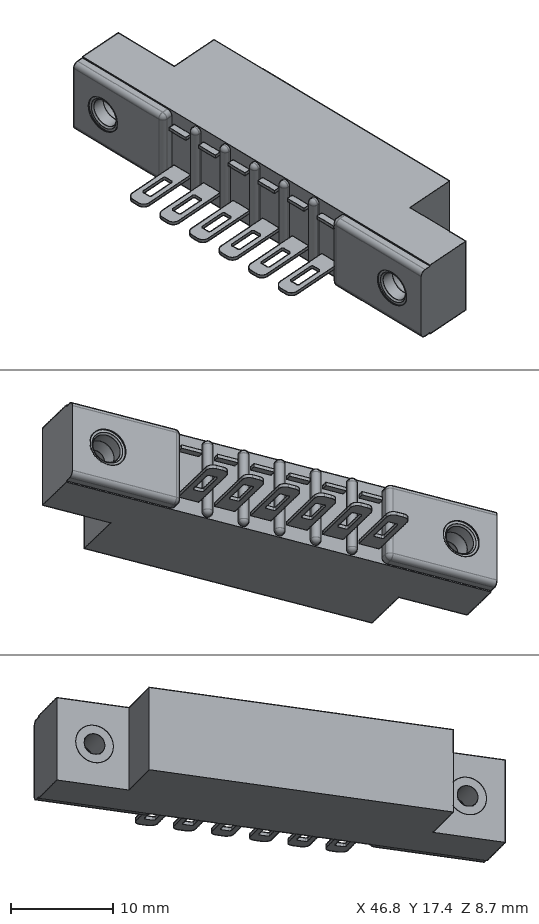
import cadquery as cq

LENGTH = 46.8
HEIGHT = 8.7
BODY_DEPTH = 10.75
FLANGE_DEPTH = 5.1
FLANGE_REACH = 7.55

PAD_LENGTH = 12.03
PAD_PROUD = 1.25
PAD_ROUND = 0.55
FACE_STEP = 0.15
RAISED_HEIGHT = HEIGHT - 2 * FACE_STEP

CONTACT_COUNT = 6
PITCH = 4.0
CONTACT_WIDTH = 2.25
CONTACT_THICKNESS = 0.37
CONTACT_LENGTH = 6.65
CONTACT_OFFSET = 2.57
TIP_ROUND = 0.75
EYE_WIDTH = 1.1
EYE_LENGTH = 3.2
EYE_CENTRE = 3.55
EYE_ROUND = 0.2
STUB_PROUD = 0.7

RIB_WIDTH = 1.05
RIB_PROUD = 0.75

BUSHING_SPACING = 38.95
BUSHING_DIAMETER = 3.95
BUSHING_SETBACK = 0.15
BUSHING_BORE = 2.15
BUSHING_MOUTH = 3.35
BUSHING_THROAT = 3.0
MOUTH_DEPTH = 0.2
THROAT_DEPTH = 1.5
TAPER_LENGTH = 1.15

contact_positions = [(i - (CONTACT_COUNT - 1) / 2) * PITCH for i in range(CONTACT_COUNT)]
rib_positions = [x + PITCH / 2 for x in contact_positions[:-1]]
bushing_positions = [-BUSHING_SPACING / 2, BUSHING_SPACING / 2]


def make_block():
    """Long flange with a narrower block behind it."""
    flange = cq.Workplane("XY").box(LENGTH, FLANGE_DEPTH, HEIGHT, centered=(True, False, True))
    block_length = LENGTH - 2 * FLANGE_REACH
    block = cq.Workplane("XY").box(block_length, BODY_DEPTH, HEIGHT, centered=(True, False, True))
    return flange.union(block)


def make_pad():
    """Raised pad at the -X end, rounded on all edges but those at the end face and the wall."""
    pad = cq.Workplane("XY").box(PAD_LENGTH, PAD_PROUD, RAISED_HEIGHT)
    pad = pad.edges("|Y and >X").fillet(PAD_ROUND)
    pad = pad.faces("<Y").edges("not <X").fillet(PAD_ROUND)
    return pad.translate(((PAD_LENGTH - LENGTH) / 2, -PAD_PROUD / 2, 0))


def make_rib():
    """Upright rib with a half-round front and domed ends."""
    radius = RIB_WIDTH / 2
    straight = RIB_PROUD - radius
    span = RAISED_HEIGHT - RIB_WIDTH
    root = cq.Workplane("XZ").slot2D(RAISED_HEIGHT, RIB_WIDTH, 90).extrude(straight)
    front = cq.Workplane("XY").cylinder(span, radius)
    for z in (-span / 2, span / 2):
        front = front.union(cq.Workplane("XY").sphere(radius).translate((0, 0, z)))
    return root.union(front.translate((0, -straight, 0)))


def make_stub():
    """Short flat stub on the wall above a contact."""
    stub = cq.Workplane("XY").box(CONTACT_WIDTH, STUB_PROUD, CONTACT_THICKNESS)
    return stub.translate((0, -STUB_PROUD / 2, CONTACT_OFFSET))


def make_housing():
    pad = make_pad()
    housing = make_block().union(pad).union(pad.mirror("YZ"))
    for x in rib_positions:
        housing = housing.union(make_rib().translate((x, 0, 0)))
    for x in contact_positions:
        housing = housing.union(make_stub().translate((x, 0, 0)))
    hole_length = PAD_PROUD + FLANGE_DEPTH
    for x in bushing_positions:
        hole = cq.Workplane("XZ", origin=(x, FLANGE_DEPTH, 0)).circle(BUSHING_DIAMETER / 2)
        housing = housing.cut(hole.extrude(hole_length))
    return housing


def make_contact():
    """Flat solder tail with a rounded tip and a long eye."""
    tail = cq.Workplane("XY").box(CONTACT_WIDTH, CONTACT_LENGTH, CONTACT_THICKNESS)
    tail = tail.translate((0, -CONTACT_LENGTH / 2, 0)).edges("|Z and <Y").fillet(TIP_ROUND)
    eye = cq.Workplane("XY").box(EYE_WIDTH, EYE_LENGTH, CONTACT_THICKNESS)
    eye = eye.edges("|Z").fillet(EYE_ROUND).translate((0, -EYE_CENTRE, 0))
    return tail.cut(eye).translate((0, 0, -CONTACT_OFFSET))


def make_bushing():
    """Turned sleeve with a chamfered mouth and a wide throat that tapers down to the bore."""
    front = BUSHING_SETBACK - PAD_PROUD
    profile = (
        cq.Workplane("XY")
        .moveTo(BUSHING_DIAMETER / 2, front)
        .lineTo(BUSHING_MOUTH / 2, front)
        .lineTo(BUSHING_THROAT / 2, front + MOUTH_DEPTH)
        .lineTo(BUSHING_THROAT / 2, front + THROAT_DEPTH)
        .lineTo(BUSHING_BORE / 2, front + THROAT_DEPTH + TAPER_LENGTH)
        .lineTo(BUSHING_BORE / 2, FLANGE_DEPTH)
        .lineTo(BUSHING_DIAMETER / 2, FLANGE_DEPTH)
        .close()
    )
    return profile.revolve(360, (0, 0, 0), (0, 1, 0))


housing = make_housing()
contacts = [make_contact().translate((x, 0, 0)) for x in contact_positions]
bushings = [make_bushing().translate((x, 0, 0)) for x in bushing_positions]

result = cq.Compound.makeCompound(
    [housing.val()] + [contact.val() for contact in contacts] + [bushing.val() for bushing in bushings]
)